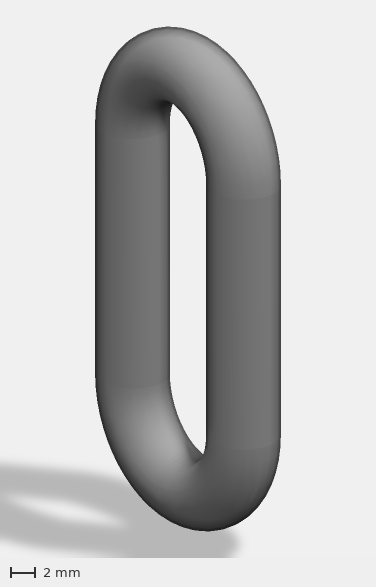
import cadquery as cq

link_length = 43.0
link_width = 21.0
wire_diameter = 6.0

wire_radius = wire_diameter / 2
bend_radius = (link_width - wire_diameter) / 2
straight_length = link_length - link_width
half_straight = straight_length / 2


def straight_leg(side):
    """Round bar along Z; side is -1 for the -X leg and +1 for the +X leg."""
    return (
        cq.Workplane("XY", origin=(side * bend_radius, 0, -half_straight))
        .circle(wire_radius)
        .extrude(straight_length)
    )


def end_bend(end):
    """Half-ring joining the legs; end is +1 for the top and -1 for the bottom."""
    centre_height = end * half_straight
    return (
        cq.Workplane("XY", origin=(-end * bend_radius, 0, centre_height))
        .circle(wire_radius)
        .revolve(180, (end * bend_radius, 0, 0), (end * bend_radius, 1, 0))
    )


result = straight_leg(-1)
for piece in (end_bend(1), straight_leg(1), end_bend(-1)):
    result = result.union(piece)